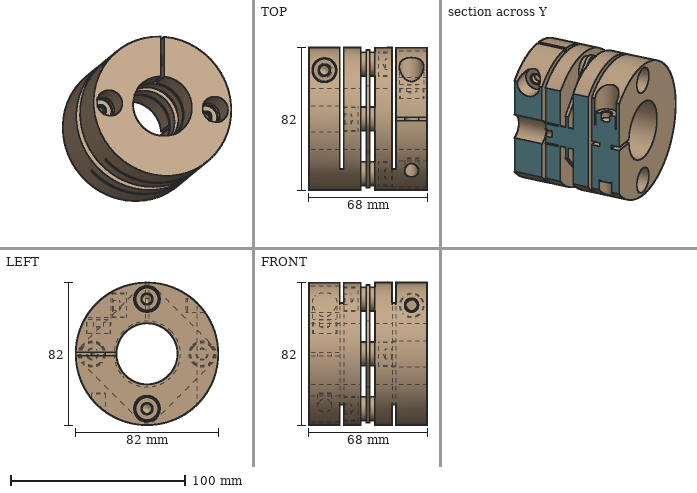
import cadquery as cq


overall_length = 68.0
outer_diameter = 82.0
bore_diameter = 35.0
hub_gap = 8.0
hub_end_x = overall_length / 2

slot_width = 2.1
slot_outer_x = 16.1
slot_inner_x = slot_outer_x - slot_width
slot_floor_y = -28.7

slit_width = 2.0

disc_side = 60.2
disc_corner_radius = 7.0
disc_thickness = 2.1
disc_bore_diameter = 38.0
washer_diameter = 13.8
bolt_circle_radius = 31.5

screw_diameter = 8.0
screw_tip_chamfer = 0.7
head_diameter = 13.0
head_height = 8.0
head_edge_radius = 0.4
socket_diameter = 5.8
socket_chamfer = 0.5
socket_depth = 4.0
socket_cone_depth = 1.3
counterbore_diameter = 14.0

bolt_access_diameter = 15.0
bolt_seat_x = slot_inner_x - head_height

clamp_x = (slot_outer_x + hub_end_x) / 2
clamp_offset = 28.0
clamp_seat_height = 12.0
clamp_screw_length = 35.0


def x_cylinder(diameter, x_start, x_end, y=0.0, z=0.0):
    """Cylinder parallel to X between two X positions."""
    plane = cq.Workplane("YZ", origin=(x_start, y, z))
    return plane.circle(diameter / 2).extrude(x_end - x_start)


def screw_head():
    """Screw head standing on the XY plane, with a round, cone-bottomed socket."""
    head = cq.Workplane("XY").circle(head_diameter / 2).extrude(head_height)
    head = head.faces(">Z").fillet(head_edge_radius)
    socket_radius = socket_diameter / 2
    socket_floor = head_height - socket_depth
    socket = (
        cq.Workplane("XZ")
        .moveTo(0, socket_floor - socket_cone_depth)
        .lineTo(socket_radius, socket_floor)
        .lineTo(socket_radius, head_height - socket_chamfer)
        .lineTo(socket_radius + socket_chamfer, head_height)
        .lineTo(0, head_height)
        .close()
        .revolve(360, (0, 0, 0), (0, 1, 0))
    )
    return head.cut(socket)


def clamp_screw():
    """Screw pointing down -Z, with its head seated on the XY plane."""
    shank = cq.Workplane("XY").circle(screw_diameter / 2).extrude(-clamp_screw_length)
    shank = shank.faces("<Z").chamfer(screw_tip_chamfer)
    return shank.union(screw_head())


def add_disc_bolts(hub):
    """Recess two bolt heads into the end of the hub, above and below the bore."""
    head = screw_head().rotate((0, 0, 0), (0, 1, 0), -90)
    for z in (-bolt_circle_radius, bolt_circle_radius):
        access = x_cylinder(bolt_access_diameter, -hub_end_x, -slot_inner_x, z=z)
        counterbore = x_cylinder(counterbore_diameter, -slot_inner_x, -bolt_seat_x, z=z)
        hub = hub.cut(access).cut(counterbore)
        hub = hub.union(head.translate((-bolt_seat_x, 0, z)))
    return hub


def add_clamp(hub):
    """Slit the clamping ring towards +Y and fit its screw across the slit."""
    reach = outer_diameter / 2
    slit = cq.Workplane("XY").box(
        hub_end_x - slot_inner_x, reach, slit_width, centered=(False, False, True)
    )
    seat = cq.Workplane("XY", origin=(-clamp_x, clamp_offset, clamp_seat_height))
    counterbore = seat.circle(counterbore_diameter / 2).extrude(reach)
    threaded_hole = seat.circle(screw_diameter / 2).extrude(-2 * reach)
    screw = clamp_screw().translate((-clamp_x, clamp_offset, clamp_seat_height))
    hub = hub.cut(slit.translate((-hub_end_x, 0, 0)))
    return hub.cut(counterbore).cut(threaded_hole).union(screw)


def unslotted_hub():
    """Hub on the -X side, before its flexure slot is cut."""
    hub = x_cylinder(outer_diameter, -hub_end_x, -hub_gap / 2)
    hub = hub.cut(x_cylinder(bore_diameter, -hub_end_x, -hub_gap / 2))
    return add_clamp(add_disc_bolts(hub))


def flexure_slot(x_start):
    """Slot open towards +Y that leaves a web on the -Y side."""
    slot = cq.Workplane("XY").box(
        slot_width, outer_diameter, 2 * outer_diameter, centered=(False, False, True)
    )
    return slot.translate((x_start, slot_floor_y, 0))


def spring_disc():
    """Square disc with rounded corners on the Y and Z axes, clamped between washers."""
    disc = (
        cq.Workplane("XY")
        .box(disc_thickness, disc_side, disc_side)
        .edges("|X")
        .fillet(disc_corner_radius)
        .rotate((0, 0, 0), (1, 0, 0), 45)
    )
    half_thickness = disc_thickness / 2
    disc = disc.cut(x_cylinder(disc_bore_diameter, -half_thickness, half_thickness))
    half_gap = hub_gap / 2
    for side in (-1, 1):
        offset = side * bolt_circle_radius
        disc = disc.union(x_cylinder(washer_diameter, -half_gap, half_gap, y=offset))
        disc = disc.union(x_cylinder(washer_diameter, -half_gap, half_gap, z=offset))
    return disc


left_hub = unslotted_hub()
right_hub = left_hub.rotate((0, 0, 0), (0, 1, 1), 180)

left_hub = left_hub.cut(flexure_slot(-slot_outer_x))
right_hub = right_hub.cut(flexure_slot(slot_inner_x))

result = left_hub.union(spring_disc()).union(right_hub)